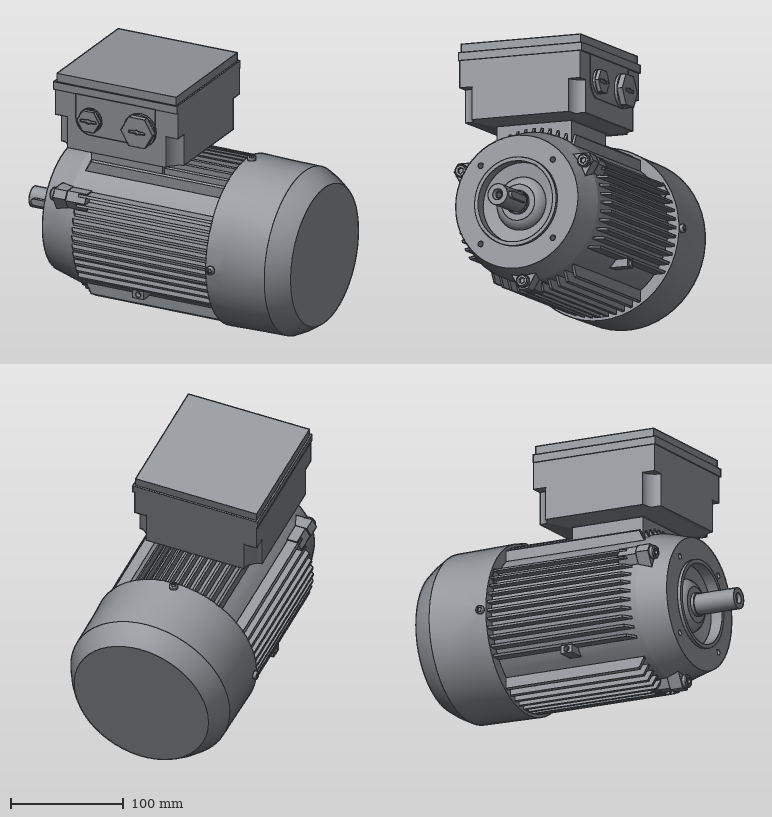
import cadquery as cq
import math


SHAFT_R = 9.5
SHAFT_LENGTH = 40.0
COLLAR_R = 10.7
KEY_WIDTH = 6.0
KEY_LENGTH = 32.0
KEY_START_X = -36.5
KEY_TOP = 12.1
CENTRE_MOUTH_R = 4.9
CENTRE_THROAT_R = 3.2
CENTRE_CONE_DEPTH = 3.0
CENTRE_DRILL_R = 2.5
CENTRE_DRILL_DEPTH = 16.0

FACE_R = 60.0
SHIELD_LENGTH = 27.2
SPIGOT_R = 40.0
SPIGOT_HEIGHT = 3.0
RECESS_R = 36.6
RECESS_RIM_X = 8.0
HUB_BASE_R = 24.0
HUB_BASE_X = 10.0
HUB_TOP_R = 16.3
HUB_TOP_X = 3.0
HUB_ARC_BULGE = 1.2
MOUNT_HOLES = 4
MOUNT_START_ANGLE = 45
MOUNT_CIRCLE_R = 50.0
MOUNT_HOLE_D = 5.0
MOUNT_HOLE_DEPTH = 14.0

BODY_R = 67.3
FIN_TIP_R = 75.3
FIN_START_X = 33.3
FIN_FULL_X = 38.7
FIN_PITCH = 7.9
FIN_THICKNESS = 2.0
FINS_EACH_SIDE = 5

COVER_START_X = 173.6
COVER_SHOULDER_X = 231.8
COVER_END_X = 252.0
COVER_R = 78.0
COVER_SHOULDER_R = 76.9
COVER_END_R = 64.9
COVER_ARC_BULGE = 0.8
COVER_SCREW_ANGLES = (-90, 0, 90)
COVER_SCREW_X = 178.8
COVER_SCREW_R = 3.8
COVER_SCREW_TOP = 81.0
COVER_SCREW_SEAT = COVER_R - 2.0
COVER_SCREW_ROUND = 1.0
COVER_SOCKET_AF = 4.0
COVER_SOCKET_DEPTH = 1.8

EAR_ANGLES = (30.0, 150.0, 270.0)
EAR_BOLT_R = 69.4
EAR_HALF_WIDTH = 8.1
EAR_BODY_HALF_WIDTH = 7.8
EAR_FLANK_SLOPE = math.tan(math.radians(30))
EAR_ROOT_R = 60.0
EAR_FRONT_X = 14.6
EAR_TIP_R = 76.4
EAR_REAR_X = 46.3
EAR_BODY_TIP_R = 75.0
COVER_EAR_LENGTH = 1.0
BOLT_HEAD_R = 5.8
BOLT_HEAD_HEIGHT = 4.2
BOLT_CHAMFER = 1.0
BOLT_SOCKET_AF = 5.0
BOLT_SOCKET_DEPTH = 2.5

LUG_X = (93.5, 104.5)
LUG_Z = (-47.6, -40.0)
LUG_TIP_Y = 65.0
LUG_ROOT_Y = 45.0
LUG_HOLE_D = 5.2
LUG_HOLE_DEPTH = 6.0

BOX_X = (11.4, 134.4)
BOX_Y = (-56.7, 61.3)
BOX_Z = (80.1, 134.4)
RIM_X = (10.4, 134.4)
RIM_Y = (-58.5, 62.1)
LID_X = (12.9, 132.6)
LID_Y = (-56.5, 60.5)
RIM_TOP = 141.6
LID_TOP = 149.5
NOTCH_R = 12.1
NOTCH_TOP = 109.8
TAPER_INSET = 4.0
TAPER_LIP = 3.5
NECK_X = (36.8, 108.6)
NECK_Y = (-36.4, 36.7)
NECK_TOP = 76.9
NECK_BOTTOM = 50.0

PANEL_X = (32.2, 112.1)
PANEL_BOTTOM = 96.6
PANEL_THICKNESS = 0.7
PANEL_CORNER_R = 15.0
PLUG_Z = 111.9
PLUG_FACE_Y = BOX_Y[0] - PANEL_THICKNESS
LARGE_PLUG = (97.6, 15.6, 2.7, 27.6, 5.3)
SMALL_PLUG = (47.7, 11.0, 2.3, 19.6, 3.6)
SLOT_LENGTH = 16.5
SLOT_WIDTH = 2.6
SLOT_DEPTH = 1.5
SLOT_CENTRE_D = 4.4


def box_between(x_range, y_range, z_range):
    size = [high - low for low, high in (x_range, y_range, z_range)]
    corner = (x_range[0], y_range[0], z_range[0])
    return cq.Workplane("XY").box(*size, centered=False).translate(corner)


def bar_along_x(start_x, end_x, radius):
    return cq.Workplane("YZ", origin=(start_x, 0, 0)).circle(radius).extrude(end_x - start_x)


def revolved(profile):
    """Turn a closed profile drawn as (x, radius) about the motor axis."""
    return profile.close().revolve(360, (0, 0, 0), (1, 0, 0))


def bulged_middle(start, end, bulge):
    """Point beside the middle of a profile chord, pushed outwards to make a convex arc."""
    length = math.dist(start, end)
    along_x = (end[0] - start[0]) / length
    along_r = (end[1] - start[1]) / length
    normal = (-along_r, along_x)
    if normal[1] < 0:
        normal = (along_r, -along_x)
    middle_x = (start[0] + end[0]) / 2 + bulge * normal[0]
    middle_r = (start[1] + end[1]) / 2 + bulge * normal[1]
    return (middle_x, middle_r)


def hexagon_diameter(across_flats):
    """Diameter of the circle through the corners of a hexagon."""
    return across_flats / math.cos(math.radians(30))


def make_end_shield():
    hub_base = (HUB_BASE_X, HUB_BASE_R)
    hub_top = (HUB_TOP_X, HUB_TOP_R)
    profile = (
        cq.Workplane("XY")
        .moveTo(HUB_TOP_X, 0)
        .lineTo(*hub_top)
        .threePointArc(bulged_middle(hub_top, hub_base, HUB_ARC_BULGE), hub_base)
        .lineTo(RECESS_RIM_X, RECESS_R)
        .lineTo(-SPIGOT_HEIGHT, RECESS_R)
        .lineTo(-SPIGOT_HEIGHT, SPIGOT_R)
        .lineTo(0, SPIGOT_R)
        .lineTo(0, FACE_R)
        .lineTo(SHIELD_LENGTH, BODY_R)
        .lineTo(SHIELD_LENGTH, 0)
    )
    holes = (
        cq.Workplane("YZ")
        .polarArray(MOUNT_CIRCLE_R, MOUNT_START_ANGLE, 360, MOUNT_HOLES)
        .circle(MOUNT_HOLE_D / 2)
        .extrude(MOUNT_HOLE_DEPTH)
    )
    return revolved(profile).cut(holes)


def make_shaft():
    shaft = bar_along_x(-SHAFT_LENGTH, 0, SHAFT_R)
    shaft = shaft.union(bar_along_x(0, SHIELD_LENGTH, COLLAR_R))
    key = (
        cq.Workplane("XZ", origin=(KEY_START_X + KEY_LENGTH / 2, 0, 0))
        .slot2D(KEY_LENGTH, KEY_WIDTH)
        .extrude(KEY_TOP)
    )
    cone_end_x = CENTRE_CONE_DEPTH - SHAFT_LENGTH
    drill_end_x = CENTRE_DRILL_DEPTH - SHAFT_LENGTH
    centre_hole = revolved(
        cq.Workplane("XY")
        .moveTo(-SHAFT_LENGTH, 0)
        .lineTo(-SHAFT_LENGTH, CENTRE_MOUTH_R)
        .lineTo(cone_end_x, CENTRE_THROAT_R)
        .lineTo(cone_end_x, CENTRE_DRILL_R)
        .lineTo(drill_end_x, CENTRE_DRILL_R)
        .lineTo(drill_end_x, 0)
    )
    return shaft.union(key).cut(centre_hole)


def make_fins():
    """Parallel plates towards +-Y and +-Z, trimmed to a turned outline with a conical front."""
    fin_length = COVER_START_X - SHIELD_LENGTH
    middle_x = SHIELD_LENGTH + fin_length / 2
    envelope = revolved(
        cq.Workplane("XY")
        .moveTo(FIN_START_X, 0)
        .lineTo(FIN_START_X, BODY_R)
        .lineTo(FIN_FULL_X, FIN_TIP_R)
        .lineTo(COVER_START_X, FIN_TIP_R)
        .lineTo(COVER_START_X, 0)
    )
    plate_span = 2 * FIN_TIP_R
    plates = cq.Workplane("XY")
    for index in range(-FINS_EACH_SIDE, FINS_EACH_SIDE + 1):
        offset = index * FIN_PITCH
        flat = cq.Workplane("XY").box(fin_length, plate_span, FIN_THICKNESS)
        upright = cq.Workplane("XY").box(fin_length, FIN_THICKNESS, plate_span)
        plates = plates.union(flat.translate((middle_x, 0, offset)))
        plates = plates.union(upright.translate((middle_x, offset, 0)))
    return plates.intersect(envelope)


def make_body():
    return bar_along_x(SHIELD_LENGTH, COVER_START_X, BODY_R).union(make_fins())


def make_fan_cover():
    shoulder = (COVER_SHOULDER_X, COVER_SHOULDER_R)
    end = (COVER_END_X, COVER_END_R)
    return revolved(
        cq.Workplane("XY")
        .moveTo(COVER_START_X, 0)
        .lineTo(COVER_START_X, COVER_R)
        .lineTo(*shoulder)
        .threePointArc(bulged_middle(shoulder, end, COVER_ARC_BULGE), end)
        .lineTo(COVER_END_X, 0)
    )


def make_cover_screw(angle):
    """Round-headed socket screw standing on the fan cover; angle 0 points to +Z."""
    head = (
        cq.Workplane("XY", origin=(COVER_SCREW_X, 0, COVER_SCREW_SEAT))
        .circle(COVER_SCREW_R)
        .extrude(COVER_SCREW_TOP - COVER_SCREW_SEAT)
        .faces(">Z")
        .edges()
        .fillet(COVER_SCREW_ROUND)
    )
    socket = (
        cq.Workplane("XY", origin=(COVER_SCREW_X, 0, COVER_SCREW_TOP))
        .polygon(6, hexagon_diameter(COVER_SOCKET_AF))
        .extrude(-COVER_SOCKET_DEPTH)
    )
    return head.cut(socket).rotate((0, 0, 0), (1, 0, 0), angle)


def ear_block(start_x, end_x, tip_r, half_width):
    """Wedge-sided block pointing to +Y, narrowing outwards up to a flat tip."""
    root_half = half_width + (EAR_BOLT_R - EAR_ROOT_R) * EAR_FLANK_SLOPE
    tip_half = half_width - (tip_r - EAR_BOLT_R) * EAR_FLANK_SLOPE
    outline = [(EAR_ROOT_R, -root_half), (tip_r, -tip_half), (tip_r, tip_half), (EAR_ROOT_R, root_half)]
    return (
        cq.Workplane("YZ", origin=(start_x, 0, 0))
        .polyline(outline)
        .close()
        .extrude(end_x - start_x)
    )


def make_ear(angle):
    """Bolted ear of the end shield, its seat on the body and its match at the fan cover."""
    ear = ear_block(EAR_FRONT_X, SHIELD_LENGTH, EAR_TIP_R, EAR_HALF_WIDTH)
    cover_ear_x = COVER_START_X - COVER_EAR_LENGTH
    for start_x, end_x in ((SHIELD_LENGTH, EAR_REAR_X), (cover_ear_x, COVER_START_X)):
        ear = ear.union(ear_block(start_x, end_x, EAR_BODY_TIP_R, EAR_BODY_HALF_WIDTH))
    head_x = EAR_FRONT_X - BOLT_HEAD_HEIGHT
    head = (
        cq.Workplane("YZ", origin=(head_x, EAR_BOLT_R, 0))
        .circle(BOLT_HEAD_R)
        .extrude(BOLT_HEAD_HEIGHT)
        .faces("<X")
        .edges()
        .chamfer(BOLT_CHAMFER)
    )
    socket = (
        cq.Workplane("YZ", origin=(head_x, EAR_BOLT_R, 0))
        .polygon(6, hexagon_diameter(BOLT_SOCKET_AF))
        .extrude(BOLT_SOCKET_DEPTH)
    )
    return ear.union(head.cut(socket)).rotate((0, 0, 0), (1, 0, 0), angle)


def make_earth_lug():
    """Lug on the -Y side with a blind screw hole."""
    lug = box_between(LUG_X, (-LUG_TIP_Y, -LUG_ROOT_Y), LUG_Z)
    hole = (
        cq.Workplane("XZ", origin=(sum(LUG_X) / 2, -LUG_TIP_Y, sum(LUG_Z) / 2))
        .circle(LUG_HOLE_D / 2)
        .extrude(-LUG_HOLE_DEPTH)
    )
    return lug.cut(hole)


def make_box_taper():
    """Shallow hopper narrowing the bottom of the box to a lip around the neck."""
    top_size = [high - low - 2 * TAPER_INSET for low, high in (BOX_X, BOX_Y)]
    top_centre = [sum(BOX_X) / 2, sum(BOX_Y) / 2]
    lip_size = [high - low + 2 * TAPER_LIP for low, high in (NECK_X, NECK_Y)]
    neck_centre = [sum(NECK_X) / 2, sum(NECK_Y) / 2]
    return (
        cq.Workplane("XY", origin=(0, 0, NECK_TOP))
        .center(*neck_centre)
        .rect(*lip_size)
        .workplane(offset=BOX_Z[0] - NECK_TOP)
        .center(top_centre[0] - neck_centre[0], top_centre[1] - neck_centre[1])
        .rect(*top_size)
        .loft(ruled=True)
    )


def make_terminal_box():
    box = box_between(BOX_X, BOX_Y, BOX_Z).union(make_box_taper())
    corners = [(x, y) for x in BOX_X for y in (PLUG_FACE_Y, BOX_Y[1])]
    notches = (
        cq.Workplane("XY", origin=(0, 0, NECK_TOP))
        .pushPoints(corners)
        .circle(NOTCH_R)
        .extrude(NOTCH_TOP - NECK_TOP)
    )
    box = box.cut(notches)
    box = box.union(box_between(RIM_X, RIM_Y, (BOX_Z[1], RIM_TOP)))
    box = box.union(box_between(LID_X, LID_Y, (RIM_TOP, LID_TOP)))
    return box.union(box_between(NECK_X, NECK_Y, (NECK_BOTTOM, NECK_TOP)))


def make_entry_panel():
    """Raised pad on the -Y wall of the box with rounded lower corners."""
    panel = box_between(PANEL_X, (PLUG_FACE_Y, BOX_Y[0]), (PANEL_BOTTOM, BOX_Z[1]))
    return panel.edges("|Y and <Z").fillet(PANEL_CORNER_R)


def make_plug(centre_x, washer_r, washer_thickness, across_flats, hex_height):
    """Hexagonal blanking plug on a round washer, with a slotted face."""
    washer = (
        cq.Workplane("XZ", origin=(centre_x, PLUG_FACE_Y, PLUG_Z))
        .circle(washer_r)
        .extrude(washer_thickness)
    )
    hex_base_y = PLUG_FACE_Y - washer_thickness
    hexagon = (
        cq.Workplane("XZ", origin=(centre_x, hex_base_y, PLUG_Z))
        .polygon(6, hexagon_diameter(across_flats))
        .extrude(hex_height)
    )
    face = cq.Workplane("XZ", origin=(centre_x, hex_base_y - hex_height, PLUG_Z))
    slot = face.slot2D(SLOT_LENGTH, SLOT_WIDTH).extrude(-SLOT_DEPTH)
    slot = slot.union(face.circle(SLOT_CENTRE_D / 2).extrude(-SLOT_DEPTH))
    return washer.union(hexagon).cut(slot)


def make_motor():
    motor = make_end_shield().union(make_body()).union(make_fan_cover())
    motor = motor.union(make_shaft())
    for angle in EAR_ANGLES:
        motor = motor.union(make_ear(angle))
    for angle in COVER_SCREW_ANGLES:
        motor = motor.union(make_cover_screw(angle))
    lug = make_earth_lug()
    motor = motor.union(lug).union(lug.mirror("XZ"))
    motor = motor.union(make_terminal_box()).union(make_entry_panel())
    for plug in (LARGE_PLUG, SMALL_PLUG):
        motor = motor.union(make_plug(*plug))
    return motor


result = make_motor()